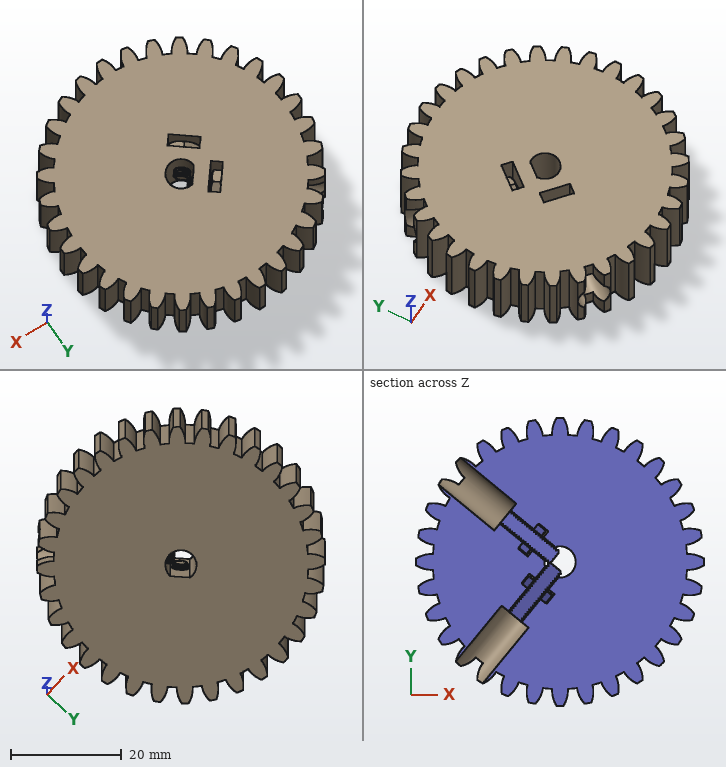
import cadquery as cq
import math

OUTER_DIAMETER = 52.0
THICKNESS = 12.0
TOOTH_COUNT = 32
ROOT_RADIUS = 23.0
TIP_HALF_WIDTH = 0.6
FLANK_RADIUS = 24.8
FLANK_HALF_WIDTH = 1.2
BASE_RADIUS = 23.4
BASE_HALF_WIDTH = 1.45

BORE_DIAMETER = 5.6
BORE_FLAT_DISTANCE = 2.2

TOOTH_PITCH_ANGLE = 360 / TOOTH_COUNT
FLAT_SCREW_TOOTH = 12.5
FLAT_SCREW_ANGLE = FLAT_SCREW_TOOTH * TOOTH_PITCH_ANGLE
SCREW_ANGLES = [FLAT_SCREW_ANGLE, FLAT_SCREW_ANGLE + 90]
MID_HEIGHT = THICKNESS / 2
SCREW_DIAMETER = 3.0
THREAD_ROOT_DIAMETER = 2.35
THREAD_PITCH = 0.5
THREAD_CREST = THREAD_PITCH / 4
THREAD_COUNT = 22
SCREW_TIP_RADIUS = 1.2
SCREW_TIP_LENGTH = 0.15
ACCESS_DIAMETER = 6.25
THREAD_START_RADIUS = SCREW_TIP_RADIUS + SCREW_TIP_LENGTH
SCREW_END_RADIUS = THREAD_START_RADIUS + THREAD_COUNT * THREAD_PITCH

NUT_FLATS = 5.5
NUT_THICKNESS = 1.8
NUT_CORNER_DIAMETER = NUT_FLATS / math.cos(math.radians(30))
NUT_CHAMFER_ANGLE = 30
SLOT_LENGTH = 5.8
SLOT_WIDTH = 2.2
SLOT_CENTER_RADIUS = 6.25


def to_screw_axis(body, angle):
    """Turn a body built along +X at mid height to the direction of one screw."""
    return body.translate((0, 0, MID_HEIGHT)).rotate((0, 0, 0), (0, 0, 1), angle)


def rod(diameter, start, end):
    """A round bar along +X from one distance to another."""
    return cq.Workplane("YZ", origin=(start, 0, 0)).circle(diameter / 2).extrude(end - start)


def polar(radius, angle):
    """Point in the XY plane at a radius and an angle in radians."""
    return (radius * math.cos(angle), radius * math.sin(angle))


def gear_blank():
    """Toothed disc: curved flanks above the base radius, straight tooth roots below it."""
    outer_radius = OUTER_DIAMETER / 2
    tip = math.asin(TIP_HALF_WIDTH / outer_radius)
    flank = math.asin(FLANK_HALF_WIDTH / FLANK_RADIUS)
    base = math.asin(BASE_HALF_WIDTH / BASE_RADIUS)
    pitch = math.radians(TOOTH_PITCH_ANGLE)
    outline = cq.Workplane("XY").moveTo(*polar(ROOT_RADIUS, -base))
    for index in range(TOOTH_COUNT):
        center = index * pitch
        outline = (
            outline.lineTo(*polar(BASE_RADIUS, center - base))
            .threePointArc(polar(FLANK_RADIUS, center - flank), polar(outer_radius, center - tip))
            .threePointArc(polar(outer_radius, center), polar(outer_radius, center + tip))
            .threePointArc(polar(FLANK_RADIUS, center + flank), polar(BASE_RADIUS, center + base))
            .lineTo(*polar(ROOT_RADIUS, center + base))
            .threePointArc(polar(ROOT_RADIUS, center + pitch / 2), polar(ROOT_RADIUS, center + pitch - base))
        )
    return outline.close().extrude(THICKNESS)


def shaft_bore():
    """D-shaped through bore, its flat facing the first screw."""
    round_bore = cq.Workplane("XY").circle(BORE_DIAMETER / 2).extrude(THICKNESS)
    flat_side = cq.Workplane("XY").box(
        BORE_DIAMETER, BORE_DIAMETER, THICKNESS, centered=(False, True, False)
    )
    flat_side = flat_side.translate((BORE_FLAT_DISTANCE, 0, 0))
    return round_bore.cut(flat_side.rotate((0, 0, 0), (0, 0, 1), FLAT_SCREW_ANGLE))


def screw_passage():
    """Screw hole, wider access hole from the rim, and nut slot open at the top."""
    screw_hole = rod(SCREW_DIAMETER, 0, SCREW_END_RADIUS)
    access_hole = rod(ACCESS_DIAMETER, SCREW_END_RADIUS, OUTER_DIAMETER / 2)
    slot_height = MID_HEIGHT + NUT_CORNER_DIAMETER / 2
    slot = cq.Workplane("XY").box(SLOT_WIDTH, SLOT_LENGTH, slot_height, centered=(False, True, False))
    slot = slot.translate((SLOT_CENTER_RADIUS - SLOT_WIDTH / 2, 0, -NUT_CORNER_DIAMETER / 2))
    return screw_hole.union(access_hole).union(slot)


def make_gear():
    """Gear with the shaft bore and two screw passages."""
    gear = gear_blank().cut(shaft_bore())
    for angle in SCREW_ANGLES:
        gear = gear.cut(to_screw_axis(screw_passage(), angle))
    return gear


def make_nut(angle):
    """Hexagon nut with a corner upward, chamfered on both faces, seated on the outer slot wall."""
    outer_face = SLOT_CENTER_RADIUS + SLOT_WIDTH / 2
    inner_face = outer_face - NUT_THICKNESS
    hexagon = (
        cq.Workplane("YZ", origin=(inner_face, 0, 0))
        .polygon(6, NUT_CORNER_DIAMETER)
        .extrude(NUT_THICKNESS)
        .rotate((0, 0, 0), (1, 0, 0), 90)
    )
    corner_radius = NUT_CORNER_DIAMETER / 2
    face_radius = NUT_FLATS / 2
    chamfer_depth = (corner_radius - face_radius) * math.tan(math.radians(NUT_CHAMFER_ANGLE))
    chamfer_limit = (
        cq.Workplane("XY")
        .polyline(
            [
                (inner_face, 0),
                (inner_face, face_radius),
                (inner_face + chamfer_depth, corner_radius),
                (outer_face - chamfer_depth, corner_radius),
                (outer_face, face_radius),
                (outer_face, 0),
            ]
        )
        .close()
        .revolve(360, (0, 0, 0), (1, 0, 0))
    )
    nut = hexagon.intersect(chamfer_limit).cut(rod(SCREW_DIAMETER, inner_face, outer_face))
    return to_screw_axis(nut, angle)


def make_screw(angle):
    """Headless screw with a plain tip and a thread made as a row of ridges."""
    root_radius = THREAD_ROOT_DIAMETER / 2
    profile = cq.Workplane("XY").moveTo(SCREW_TIP_RADIUS, 0).lineTo(SCREW_TIP_RADIUS, root_radius)
    for index in range(THREAD_COUNT):
        start = THREAD_START_RADIUS + index * THREAD_PITCH
        profile = profile.lineTo(start, root_radius)
        profile = profile.lineTo(start + (THREAD_PITCH - THREAD_CREST) / 2, SCREW_DIAMETER / 2)
        profile = profile.lineTo(start + (THREAD_PITCH + THREAD_CREST) / 2, SCREW_DIAMETER / 2)
    profile = profile.lineTo(SCREW_END_RADIUS, root_radius).lineTo(SCREW_END_RADIUS, 0).close()
    screw = profile.revolve(360, (0, 0, 0), (1, 0, 0))
    return to_screw_axis(screw, angle)


gear = make_gear()
nuts = [make_nut(angle) for angle in SCREW_ANGLES]
screws = [make_screw(angle) for angle in SCREW_ANGLES]

result = cq.Compound.makeCompound(
    [gear.val(), *[nut.val() for nut in nuts], *[screw.val() for screw in screws]]
)